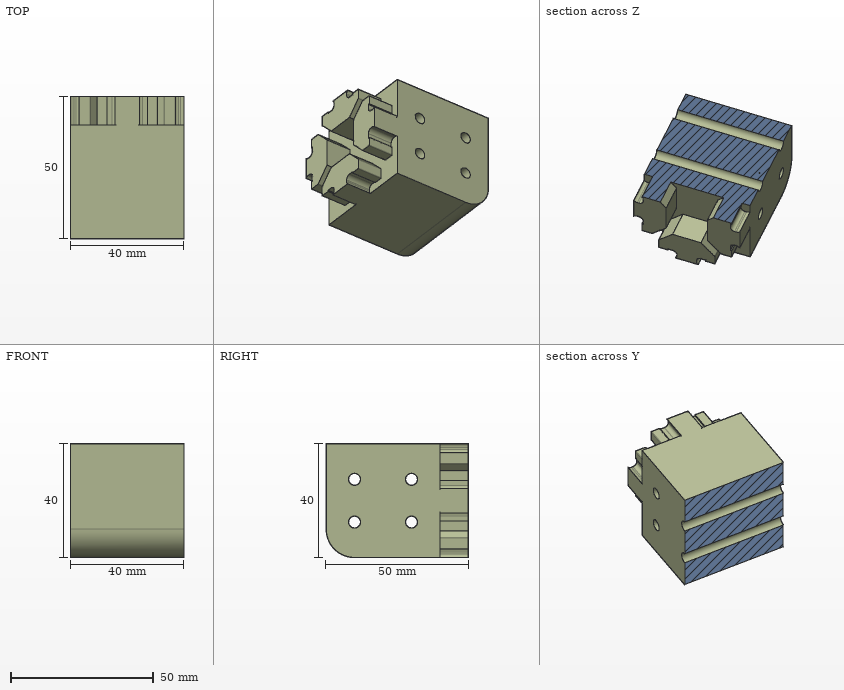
import cadquery as cq
import math

BLOCK_SIDE = 40.0
BLOCK_DEPTH = 40.0
FRONT_BOTTOM_RADIUS = 10.0
HALF_SIDE = BLOCK_SIDE / 2

HOLE_DIAMETER = 4.1
HOLE_Y_MIDDLE = 20.0
HOLE_Y_SPACING = 20.0
HOLE_Z_SPACING = 15.0
HOLES_PER_ROW = 2
HOLE_ROWS = 2

KEY_LENGTH = 10.0
KEY_COUNT = 4
MOUTH_HALF_WIDTH = 4.3
LIP_RADIUS = 1.8
NECK_FILLET_RADIUS = 1.6
NECK_STRAIGHT_START = 1.35
NECK_STRAIGHT_END = 1.95
GROOVE_HALF_WIDTH = 7.15
SHOULDER_DEPTH = 3.05
SHOULDER_HALF_WIDTH = 10.6
SHOULDER_BASE_DEPTH = 7.0
KEY_DEPTH = 12.25
CORNER_RADIUS = 0.15

LIP_ANGLE = math.asin(NECK_STRAIGHT_START / LIP_RADIUS)
NECK_HALF_WIDTH = MOUTH_HALF_WIDTH - LIP_RADIUS * (1 - math.cos(LIP_ANGLE))
GROOVE_DEPTH = NECK_STRAIGHT_END + NECK_FILLET_RADIUS
BASE_HALF_WIDTH = SHOULDER_HALF_WIDTH - (KEY_DEPTH - SHOULDER_BASE_DEPTH)


def make_block():
    block = cq.Workplane("XY").box(BLOCK_SIDE, BLOCK_DEPTH, BLOCK_SIDE, centered=(True, False, True))
    return block.edges("|X and <Y and <Z").fillet(FRONT_BOTTOM_RADIUS)


def make_cross_holes():
    return (
        cq.Workplane("YZ", origin=(-HALF_SIDE, HOLE_Y_MIDDLE, 0))
        .rarray(HOLE_Y_SPACING, HOLE_Z_SPACING, HOLES_PER_ROW, HOLE_ROWS)
        .circle(HOLE_DIAMETER / 2)
        .extrude(BLOCK_SIDE)
    )


def key_height(depth):
    return HALF_SIDE - depth


def make_top_key():
    """T-slot key whose mouth is flush with the block's top face."""
    lip_middle = (
        NECK_HALF_WIDTH + LIP_RADIUS * (1 - math.cos(LIP_ANGLE / 2)),
        key_height(NECK_STRAIGHT_START - LIP_RADIUS * math.sin(LIP_ANGLE / 2)),
    )
    neck_fillet_middle = (
        NECK_HALF_WIDTH + NECK_FILLET_RADIUS * (1 - math.cos(math.pi / 4)),
        key_height(NECK_STRAIGHT_END + NECK_FILLET_RADIUS * math.sin(math.pi / 4)),
    )
    half_profile = (
        cq.Workplane("XZ", origin=(0, BLOCK_DEPTH, 0))
        .moveTo(0, key_height(0))
        .lineTo(MOUTH_HALF_WIDTH, key_height(0))
        .threePointArc(lip_middle, (NECK_HALF_WIDTH, key_height(NECK_STRAIGHT_START)))
        .lineTo(NECK_HALF_WIDTH, key_height(NECK_STRAIGHT_END))
        .threePointArc(neck_fillet_middle, (NECK_HALF_WIDTH + NECK_FILLET_RADIUS, key_height(GROOVE_DEPTH)))
        .lineTo(GROOVE_HALF_WIDTH, key_height(GROOVE_DEPTH))
        .lineTo(GROOVE_HALF_WIDTH, key_height(SHOULDER_DEPTH))
        .lineTo(SHOULDER_HALF_WIDTH, key_height(SHOULDER_DEPTH))
        .lineTo(SHOULDER_HALF_WIDTH, key_height(SHOULDER_BASE_DEPTH))
        .lineTo(BASE_HALF_WIDTH, key_height(KEY_DEPTH))
        .lineTo(0, key_height(KEY_DEPTH))
        .close()
        .extrude(-KEY_LENGTH)
    )
    half_key = half_profile.edges("|Y and >X").fillet(CORNER_RADIUS)
    return half_key.union(half_key.mirror("YZ")).clean()


top_key = make_top_key()
result = make_block().cut(make_cross_holes())
for index in range(KEY_COUNT):
    turn = index * 360 / KEY_COUNT
    result = result.union(top_key.rotate((0, 0, 0), (0, 1, 0), turn))